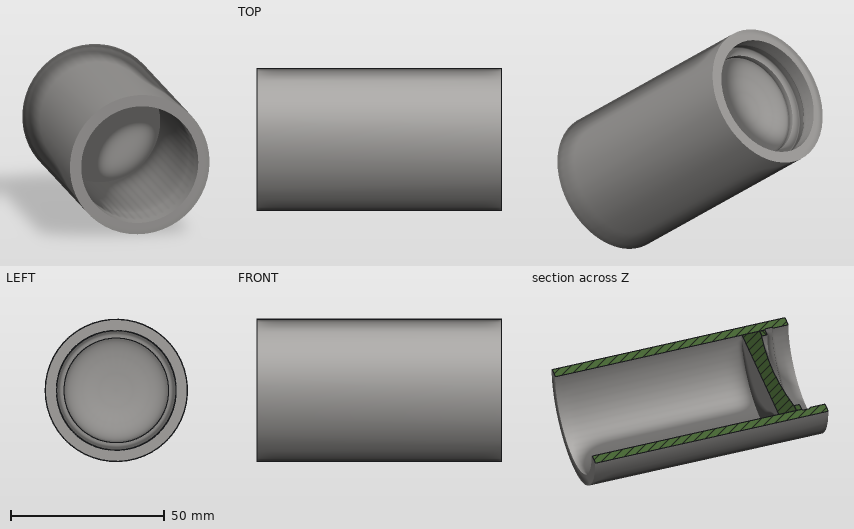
import cadquery as cq


tube_length = 80.0
tube_radius = 23.25
bore_radius = 19.5
front_x = -tube_length / 2

ring_front = 8.0
ring_thickness = 2.0
ring_inner_radius = 17.1
ring_back = ring_front + ring_thickness

groove_front = 5.0
groove_back = ring_front
groove_depth = 0.5
lip_chamfer_length = 0.4
lip_chamfer_depth = 0.2
groove_fillet = 0.3
groove_radius = bore_radius + groove_depth

dish_radius = 16.6
dish_depth = 1.4
lens_edge_thickness = 6.0
lens_back = ring_back + lens_edge_thickness
sphere_radius = (dish_radius**2 + dish_depth**2) / (2 * dish_depth)


def cylinder(radius, start, end):
    """Solid cylinder about the tube axis between two stations."""
    return cq.Workplane("YZ", origin=(front_x + start, 0, 0)).circle(radius).extrude(end - start)


def profile(station, radius):
    """Start a half section, in station and radius, at the given point."""
    return cq.Workplane("XY", origin=(front_x, 0, 0)).moveTo(station, radius)


def revolve_profile(outline):
    """Close a half section and turn it about the tube axis."""
    return outline.close().revolve(360, (0, 0, 0), (1, 0, 0))


def make_groove():
    """Ring-shaped cutter with a chamfered lip and a fillet at the rear of the floor."""
    outline = (
        profile(groove_front, ring_inner_radius)
        .lineTo(groove_front, bore_radius)
        .lineTo(groove_front + lip_chamfer_length, bore_radius + lip_chamfer_depth)
        .lineTo(groove_front + lip_chamfer_length, groove_radius)
        .lineTo(groove_back - groove_fillet, groove_radius)
        .radiusArc((groove_back, groove_radius - groove_fillet), groove_fillet)
        .lineTo(groove_back, ring_inner_radius)
    )
    return revolve_profile(outline)


def make_housing():
    """Straight tube with a through bore and one internal groove."""
    tube = cylinder(tube_radius, 0, tube_length)
    bore = cylinder(bore_radius, 0, tube_length)
    return tube.cut(bore).cut(make_groove())


def make_retaining_ring():
    """Flat ring that fits the bore in front of the lens."""
    disc = cylinder(bore_radius, ring_front, ring_back)
    return disc.cut(cylinder(ring_inner_radius, ring_front, ring_back))


def make_lens():
    """Lens with a spherical dish inside a flat front rim."""
    outline = (
        profile(ring_back + dish_depth, 0)
        .radiusArc((ring_back, dish_radius), -sphere_radius)
        .lineTo(ring_back, bore_radius)
        .lineTo(lens_back, bore_radius)
        .lineTo(lens_back, 0)
    )
    return revolve_profile(outline)


housing = make_housing()
retaining_ring = make_retaining_ring()
lens = make_lens()

result = cq.Compound.makeCompound([housing.val(), retaining_ring.val(), lens.val()])